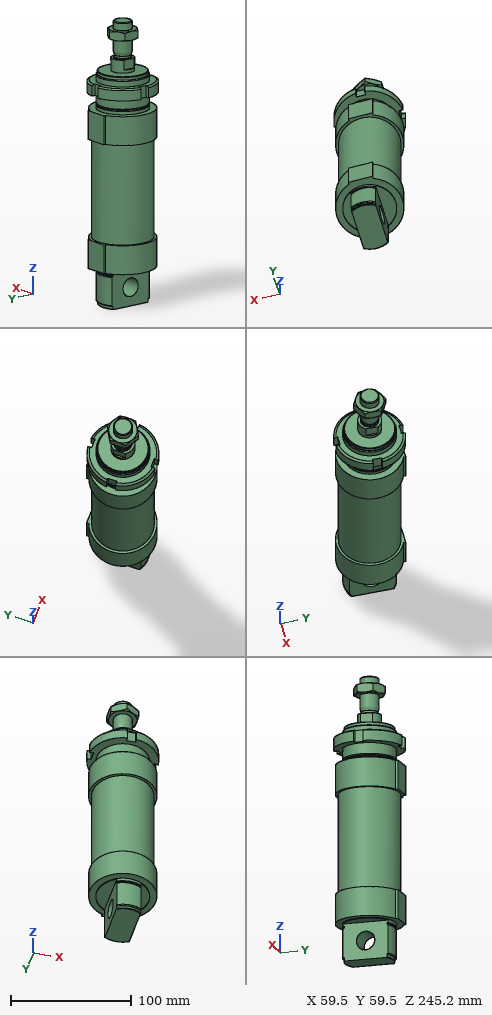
import cadquery as cq
import math


total_height = 245.2

cap_diameter = 57.0
cap_height = 25.0
tube_diameter = 52.4
rear_cap_bottom = 32.8
front_cap_top = 169.6
front_cap_bottom = front_cap_top - cap_height
port_pad_width = 21.0

neck_diameter = 45.0
neck_root_diameter = 43.38
pilot_diameter = 42.8
pilot_height = 3.6
pilot_chamfer = 0.5
collar_height = 2.8
groove_width = 2.0
front_neck_length = 32.5

eye_thickness = 21.0
eye_hole_diameter = 16.0
eye_hole_height = 16.2
rear_disc_height = 0.7

rod_diameter = 20.0
rod_shoulder_height = 11.1
rod_flat_width = 17.0
rod_flat_length = 8.3
rod_thread_diameter = 16.0
rod_thread_root_diameter = 14.38
rod_relief_diameter = 13.9
rod_relief_length = 2.6
rod_relief_flare = 0.75
rod_end_chamfer = (rod_thread_diameter - rod_thread_root_diameter) / 2
rod_thread_runout = 3.0

nut_width = 24.0
nut_sides = 6
nut_height = 8.0
nut_chamfer_diameter = 0.99 * nut_width
nut_chamfer_angle = 30.0
nut_from_rod_end = 6.9

ring_diameter = 60.0
ring_top_diameter = 56.0
ring_height = 10.0
ring_chamfer_height = 1.1
ring_bottom = 183.7
ring_slot_width = 8.0
ring_slot_floor = 26.3
ring_slot_count = 4

neck_end = front_cap_top + front_neck_length
rod_shoulder = neck_end + rod_shoulder_height


def turned(profile):
    """Solid of revolution about Z from (radius, height) points."""
    return cq.Workplane("XZ").polyline(profile).close().revolve(360, (0, 0), (0, 1))


def disc(diameter, bottom, top):
    return cq.Workplane("XY").workplane(offset=bottom).circle(diameter / 2).extrude(top - bottom)


def make_neck(length):
    """Neck standing on Z = 0: collar, groove, thread chamfered at both ends, and chamfered pilot."""
    outer = neck_diameter / 2
    root = neck_root_diameter / 2
    pilot = pilot_diameter / 2
    thread_chamfer = outer - root
    thread_end = length - pilot_height
    groove_end = collar_height + groove_width
    return turned([
        (0, 0),
        (outer, 0),
        (outer, collar_height),
        (pilot, collar_height),
        (pilot, groove_end - thread_chamfer),
        (root, groove_end - thread_chamfer),
        (outer, groove_end),
        (outer, thread_end),
        (root, thread_end + thread_chamfer),
        (pilot, thread_end + thread_chamfer),
        (pilot, length - pilot_chamfer),
        (pilot - pilot_chamfer, length),
        (0, length),
    ])


def make_cap(bottom):
    """End cap with a flat port pad tangent to it on the +Y side."""
    cap_radius = cap_diameter / 2
    pad = cq.Workplane("XY").box(
        port_pad_width, cap_radius, cap_height, centered=(True, False, False)
    )
    return disc(cap_diameter, bottom, bottom + cap_height).union(pad.translate((0, 0, bottom)))


def make_rear_eye():
    """Rear neck milled to a flat tongue, with a cross hole along X."""
    neck = make_neck(rear_cap_bottom).mirror("XY").translate((0, 0, rear_cap_bottom))
    tongue_space = cq.Workplane("XY").box(
        eye_thickness, neck_diameter, rear_cap_bottom, centered=(True, True, False)
    )
    rear_disc = disc(neck_diameter, rear_cap_bottom - rear_disc_height, rear_cap_bottom)
    hole = (
        cq.Workplane("YZ")
        .center(0, eye_hole_height)
        .circle(eye_hole_diameter / 2)
        .extrude(eye_thickness, both=True)
    )
    return neck.intersect(tongue_space).union(rear_disc).cut(hole)


def make_housing():
    tube = disc(tube_diameter, rear_cap_bottom, front_cap_top)
    front_neck = make_neck(front_neck_length).translate((0, 0, front_cap_top))
    return (
        tube
        .union(make_cap(rear_cap_bottom))
        .union(make_cap(front_cap_bottom))
        .union(front_neck)
        .union(make_rear_eye())
    )


def make_piston_rod():
    """Rod with wrench flats on the +X and -X sides, a relief and a threaded end."""
    rod = rod_diameter / 2
    thread = rod_thread_diameter / 2
    thread_root = rod_thread_root_diameter / 2
    relief = rod_relief_diameter / 2
    relief_end = rod_shoulder + rod_relief_length
    body = turned([
        (0, neck_end),
        (rod, neck_end),
        (rod, rod_shoulder),
        (relief + rod_relief_flare, rod_shoulder),
        (relief, rod_shoulder + rod_relief_flare),
        (relief, relief_end),
        (thread_root, relief_end),
        (thread, relief_end + rod_thread_runout),
        (thread, total_height - rod_end_chamfer),
        (thread_root, total_height),
        (0, total_height),
    ])
    flat_depth = (rod_diameter - rod_flat_width) / 2
    flat_center = (rod_flat_width + flat_depth) / 2
    for side in (1, -1):
        flat = cq.Workplane("XY").box(
            flat_depth, rod_diameter, rod_flat_length, centered=(True, True, False)
        )
        body = body.cut(flat.translate((side * flat_center, 0, rod_shoulder - rod_flat_length)))
    return body


def make_rod_nut():
    """Hexagon nut with flats facing X, its corners chamfered at both ends."""
    corner_diameter = nut_width / math.cos(math.pi / nut_sides)
    corner = corner_diameter / 2
    chamfer = nut_chamfer_diameter / 2
    chamfer_height = (corner - chamfer) * math.tan(math.radians(nut_chamfer_angle))
    hexagon = (
        cq.Workplane("XY")
        .polygon(nut_sides, corner_diameter)
        .extrude(nut_height)
        .rotate((0, 0, 0), (0, 0, 1), 180 / nut_sides)
    )
    envelope = turned([
        (0, 0),
        (chamfer, 0),
        (corner, chamfer_height),
        (corner, nut_height - chamfer_height),
        (chamfer, nut_height),
        (0, nut_height),
    ])
    bore = disc(rod_thread_diameter, 0, nut_height)
    bottom = total_height - nut_from_rod_end - nut_height
    return hexagon.intersect(envelope).cut(bore).translate((0, 0, bottom))


def make_ring_nut():
    """Round nut on the front neck, chamfered on top, with wrench slots in the rim."""
    bore = neck_diameter / 2
    outer = ring_diameter / 2
    ring = turned([
        (bore, 0),
        (outer, 0),
        (outer, ring_height - ring_chamfer_height),
        (ring_top_diameter / 2, ring_height),
        (bore, ring_height),
    ])
    for index in range(ring_slot_count):
        slot = (
            cq.Workplane("XY")
            .box(outer, ring_slot_width, ring_height, centered=(False, True, False))
            .translate((ring_slot_floor, 0, 0))
            .rotate((0, 0, 0), (0, 0, 1), index * 360 / ring_slot_count)
        )
        ring = ring.cut(slot)
    return ring.translate((0, 0, ring_bottom))


housing = make_housing()
piston_rod = make_piston_rod()
rod_nut = make_rod_nut()
ring_nut = make_ring_nut()

result = cq.Compound.makeCompound([
    housing.val(),
    piston_rod.val(),
    rod_nut.val(),
    ring_nut.val(),
])